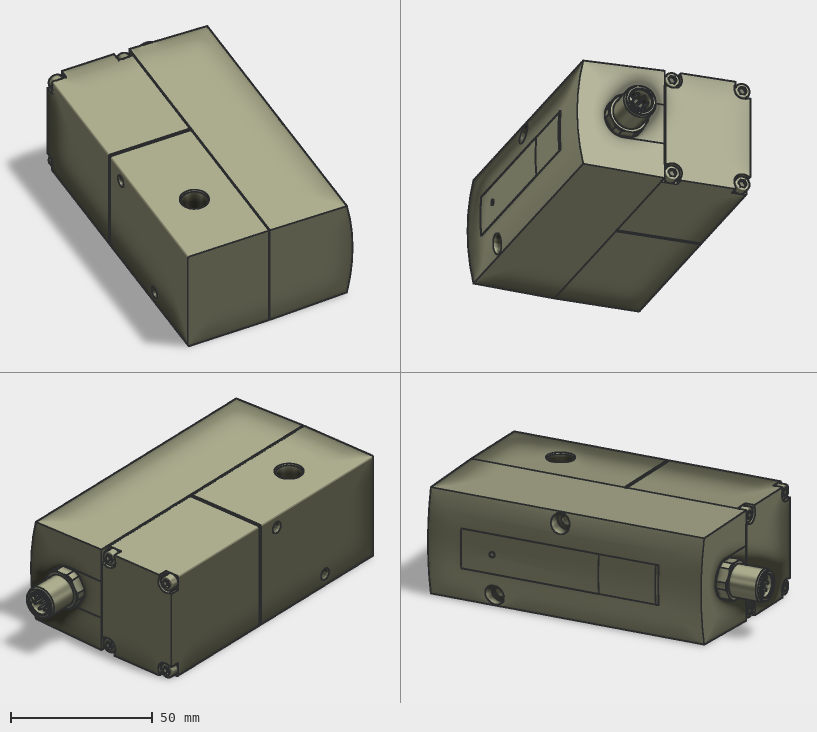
import cadquery as cq
import math

body_length = 110.4
body_height = 41.5
block_depth = 32.4
edge_radius = 0.8
end_edge_chamfer = 0.4

cap_length = 48.2
joint_gap = 0.8
joint_depth = 0.3

cover_edge_y = 63.0
cover_crown_y = 65.2
cover_side_taper = 0.8
cover_end_taper = 0.4

panel_width = 15.0
panel_end = 96.7
sheet_start = 17.5
sheet_height = 0.1
rim_width = 1.1
plate_start = 41.5
plate_height = 0.3
stud_x = 84.0
stud_diameter = 2.0
stud_height = 0.5

mount_hole_diameter = 4.5
mount_head_diameter = 7.5
mount_head_depth = 3.8
mount_hole_offset = 15.7
mount_holes = [(57.6, mount_hole_offset), (84.0, -mount_hole_offset)]

port_x = 83.4
port_y = 16.1
port_diameter = 10.4
port_core_diameter = 9.4
port_chamfer = (port_diameter - port_core_diameter) / 2
port_depth = 12.7

screw_edge_offset = 2.8
screw_head_diameter = 5.5
screw_row_pitch = 26.4
screw_pocket_diameter = 6.7
screw_slot_width = 5.7
screw_pocket_depth = 3.7
screw_head_recess = 0.5
screw_head_rounding = 0.4
screw_socket_flats = 2.8
screw_socket_depth = 1.5

connector_y = 47.5
connector_length = 16.5
connector_diameter = 12.0
connector_tip_diameter = 10.9
connector_tip_length = 0.8
connector_cone_length = 0.6
connector_bore_diameter = 8.2
connector_bore_depth = 7.6
bore_chamfer = 0.4
key_diameter = 2.0
key_offset = 3.9
nut_length = 4.3
nut_flats = 14.2
nut_corner_diameter = 15.1
nut_chamfer = 0.4
pin_diameter = 0.8
pin_circle_radius = 2.9
pin_recess = 1.3
ring_pin_count = 7
pad_width = 15.0
pad_thickness = 1.3

half_height = body_height / 2


def box(x_range, y_range, z_range):
    """Axis-aligned box from its limits along each axis."""
    sizes = [high - low for low, high in (x_range, y_range, z_range)]
    corner = (x_range[0], y_range[0], z_range[0])
    return cq.Workplane("XY").box(*sizes, centered=False).translate(corner)


def rod(diameter, start_x, end_x, y, z=0.0):
    """Cylinder along X."""
    return cq.Workplane("YZ", origin=(start_x, y, z)).circle(diameter / 2).extrude(end_x - start_x)


def hexagon_rod(flats, start_x, end_x, y, z=0.0):
    """Hexagonal prism along X with two corners pointing along Y."""
    corner_radius = flats / math.sqrt(3)
    corners = [
        (corner_radius * math.cos(math.pi * index / 3), corner_radius * math.sin(math.pi * index / 3))
        for index in range(6)
    ]
    return cq.Workplane("YZ", origin=(start_x, y, z)).polyline(corners).close().extrude(end_x - start_x)


def make_block():
    """Two blocks with rounded long edges on a slightly smaller core that forms the joint groove."""
    full = (-half_height, half_height)
    cap = box((0, cap_length), (0, block_depth), full)
    cap = cap.edges("<X and >Y").chamfer(end_edge_chamfer)
    cap = cap.edges("|X and (<Z or >Z)").fillet(edge_radius)
    base = box((cap_length + joint_gap, body_length), (0, block_depth), full)
    base = base.edges(">X and >Y").chamfer(end_edge_chamfer)
    base = base.edges("|X and (<Z or >Z)").fillet(edge_radius)
    inner = half_height - joint_depth
    core_x = (cap_length - edge_radius, cap_length + joint_gap + edge_radius)
    core = box(core_x, (joint_depth, block_depth), (-inner, inner))
    core = core.edges("|X").fillet(edge_radius)
    return cap.union(base).union(core)


def crowned_prism(rise):
    """Cover section extruded over the whole length, its crowned face moved outwards by rise."""
    top_half = half_height - cover_side_taper
    return (
        cq.Workplane("YZ")
        .moveTo(block_depth, -half_height)
        .lineTo(cover_edge_y + rise, -top_half)
        .threePointArc((cover_crown_y + rise, 0), (cover_edge_y + rise, top_half))
        .lineTo(block_depth, half_height)
        .close()
        .extrude(body_length)
    )


def make_cover():
    """Tapered cover with a crowned outer face."""
    end_outline = (
        cq.Workplane("XY")
        .polyline([
            (0, block_depth),
            (body_length, block_depth),
            (body_length - cover_end_taper, cover_crown_y),
            (cover_end_taper, cover_crown_y),
        ])
        .close()
        .extrude(half_height, both=True)
    )
    return crowned_prism(0).intersect(end_outline)


def make_panel():
    """Thin sheet with an end rim, a raised plate and a small stud, all following the crown."""
    half_width = panel_width / 2
    stud_plane = cq.Workplane("XZ", origin=(stud_x, cover_crown_y + stud_height, 0))
    panel = stud_plane.circle(stud_diameter / 2).extrude(2 * stud_height)
    for start, end, rise in (
        (sheet_start, panel_end, sheet_height),
        (sheet_start, sheet_start + rim_width, plate_height),
        (plate_start, panel_end, plate_height),
    ):
        area = box((start, end), (cover_edge_y, cover_crown_y + rise), (-half_width, half_width))
        panel = panel.union(crowned_prism(rise).intersect(area))
    return panel


def make_connector_pad():
    """Flat pad under the connector, standing proud of the tapered end face."""
    pad_half = pad_width / 2
    pad_end = rod(pad_width, 0, pad_thickness, connector_y)
    return pad_end.union(box((0, pad_thickness), (block_depth, connector_y), (-pad_half, pad_half)))


def make_connector():
    """Round plug with a hexagonal nut, keyed socket and contact pins."""
    tip_x = -connector_length
    cone_x = tip_x + connector_tip_length
    barrel_x = cone_x + connector_cone_length
    tip_radius = connector_tip_diameter / 2
    radius = connector_diameter / 2
    shell = (
        cq.Workplane("XY")
        .polyline([(tip_x, 0), (tip_x, tip_radius), (cone_x, tip_radius), (barrel_x, radius), (0, radius), (0, 0)])
        .close()
        .revolve(360, (0, 0, 0), (1, 0, 0))
        .translate((0, connector_y, 0))
    )
    hexagon = hexagon_rod(nut_flats, -nut_length, 0, connector_y)
    turned_disc = rod(nut_corner_diameter, -nut_length, 0, connector_y).faces("<X").chamfer(nut_chamfer)
    nut = hexagon.intersect(turned_disc)

    floor_x = tip_x + connector_bore_depth
    bore = rod(connector_bore_diameter, tip_x, floor_x, connector_y)
    mouth = rod(connector_bore_diameter + 2 * bore_chamfer, tip_x, tip_x + bore_chamfer, connector_y)
    bore = bore.cut(rod(key_diameter, tip_x, floor_x, connector_y + key_offset)).union(mouth)
    connector = shell.union(nut).cut(bore)

    pin_places = [(connector_y, 0)]
    for index in range(ring_pin_count):
        angle = 2 * math.pi * index / ring_pin_count
        pin_places.append((
            connector_y - pin_circle_radius * math.cos(angle),
            pin_circle_radius * math.sin(angle),
        ))
    pins = cq.Workplane("YZ", origin=(tip_x + pin_recess, 0, 0)).pushPoints(pin_places)
    return connector.union(pins.circle(pin_diameter / 2).extrude(connector_bore_depth))


def add_corner_screws(part):
    """Socket-head screws in corner pockets that open to the neighbouring sides."""
    screw_z = half_height - screw_edge_offset
    slot_half = screw_slot_width / 2
    depth = (0, screw_pocket_depth)
    socket_floor_x = screw_head_recess + screw_socket_depth
    last_row_y = screw_edge_offset + screw_row_pitch
    for y, side_face_y in ((screw_edge_offset, 0), (last_row_y, block_depth)):
        for side in (-1, 1):
            z = side * screw_z
            pocket = rod(screw_pocket_diameter, *depth, y, z)
            pocket = pocket.union(box(depth, sorted((y, side_face_y)), (z - slot_half, z + slot_half)))
            pocket = pocket.union(box(depth, (y - slot_half, y + slot_half), sorted((z, side * half_height))))
            pocket = pocket.intersect(box(depth, (0, block_depth), (-half_height, half_height)))
            head = rod(screw_head_diameter, screw_head_recess, screw_pocket_depth, y, z)
            head = head.faces("<X").edges().fillet(screw_head_rounding)
            socket = hexagon_rod(screw_socket_flats, screw_head_recess, socket_floor_x, y, z)
            part = part.cut(pocket).union(head.cut(socket))
    return part


def cut_mounting_holes(part):
    """Through holes along Y, counterbored from the crowned face."""
    head_floor_y = cover_edge_y - mount_head_depth
    outside_y = cover_crown_y + plate_height
    for x, z in mount_holes:
        plane = cq.Workplane("XZ", origin=(x, outside_y, z))
        part = part.cut(plane.circle(mount_hole_diameter / 2).extrude(outside_y))
        part = part.cut(plane.circle(mount_head_diameter / 2).extrude(outside_y - head_floor_y))
    return part


def cut_port(part):
    """Blind port in the upper side with a chamfered mouth."""
    plane = cq.Workplane("XY", origin=(port_x, port_y, half_height))
    bore = plane.circle(port_core_diameter / 2).extrude(-port_depth)
    mouth = plane.circle(port_diameter / 2).extrude(-port_chamfer, taper=45)
    return part.cut(bore).cut(mouth)


result = make_block().union(make_cover()).union(make_panel())
result = result.union(make_connector_pad()).union(make_connector())
result = add_corner_screws(result)
result = cut_mounting_holes(result)
result = cut_port(result)